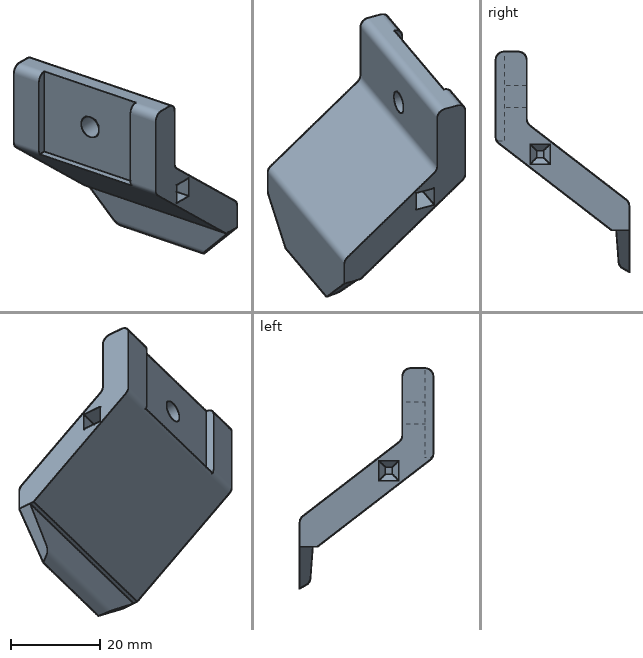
import cadquery as cq
import math

width = 40.0
depth = 30.0
height = 49.4

plate_thickness = 7.0
slope_angle = 37.6
front_bend_z = 29.4
back_bend_z = 33.4
slab_bottom_z = 9.4
round_radius = 2.0

lip_root_thickness = 3.0
lip_tip_thickness = 2.4
lip_corner_z = 1.4
lip_tip_width = 21.35

recess_width = 25.8
recess_depth = 2.0
hole_diameter = 5.0

socket_mouth = 4.5
socket_floor = 1.55
socket_wall_depth = 10.0
socket_y = 10.0
socket_z = 26.4

slope = math.tan(math.radians(slope_angle))
rear_corner_z = back_bend_z - (depth - plate_thickness) * slope
slab_bottom_y = (front_bend_z - slab_bottom_z) / slope


def side_extrusion(points):
    """Extrude a (Y, Z) outline across the full width."""
    return cq.Workplane("YZ").polyline(points).close().extrude(width / 2, both=True)


def round_edges(body, corners):
    """Round the full-width edges that pass through the given (Y, Z) corners."""
    reach = 0.005
    for y, z in corners:
        edge = cq.selectors.BoxSelector(
            (-width, y - reach, z - reach), (width, y + reach, z + reach)
        )
        body = body.edges(edge).fillet(round_radius)
    return body


def make_plate():
    """Upright plate bent backward into a sloping slab with a flat underside."""
    top_front = (0, height)
    top_back = (plate_thickness, height)
    back_bend = (plate_thickness, back_bend_z)
    rear_corner = (depth, rear_corner_z)
    front_bend = (0, front_bend_z)
    plate = side_extrusion([
        top_front,
        top_back,
        back_bend,
        rear_corner,
        (depth, slab_bottom_z),
        (slab_bottom_y, slab_bottom_z),
        front_bend,
    ])
    return round_edges(plate, [top_front, top_back, back_bend, rear_corner, front_bend])


def make_lip():
    """Hanging lip with a slightly tapered front, a slanted tip and sides drawn in toward the tip."""
    tip_corner = (depth - lip_tip_thickness, lip_corner_z)
    lip = side_extrusion([
        (depth, 0),
        (depth, slab_bottom_z),
        (depth - lip_root_thickness, slab_bottom_z),
        tip_corner,
    ])
    lip = round_edges(lip, [tip_corner])
    trapezoid = (
        cq.Workplane("XZ")
        .polyline([
            (-width / 2, slab_bottom_z),
            (width / 2, slab_bottom_z),
            (lip_tip_width / 2, 0),
            (-lip_tip_width / 2, 0),
        ])
        .close()
        .extrude(-depth)
    )
    return lip.intersect(trapezoid)


def make_recess():
    """Shallow recess in the front face, open at the top and ending at the front bend."""
    return cq.Workplane("XY").workplane(offset=front_bend_z).rect(
        recess_width, 2 * recess_depth
    ).extrude(height - front_bend_z)


def make_hole():
    """Hole through the upright, centred in the height of the recess."""
    hole_z = (front_bend_z + height) / 2
    return (
        cq.Workplane("XZ")
        .center(0, hole_z)
        .circle(hole_diameter / 2)
        .extrude(-plate_thickness)
    )


def make_socket():
    """Square socket in the -X side, tapering at 45 degrees to a small flat floor."""
    taper_depth = (socket_mouth - socket_floor) / 2
    walls = (
        cq.Workplane("YZ", origin=(-width / 2, socket_y, socket_z))
        .rect(socket_mouth, socket_mouth)
        .extrude(socket_wall_depth)
    )
    taper = (
        cq.Workplane("YZ", origin=(-width / 2 + socket_wall_depth, socket_y, socket_z))
        .rect(socket_mouth, socket_mouth)
        .workplane(offset=taper_depth)
        .rect(socket_floor, socket_floor)
        .loft(ruled=True)
    )
    return walls.union(taper)


socket = make_socket()
result = (
    make_plate()
    .union(make_lip())
    .cut(make_recess())
    .cut(make_hole())
    .cut(socket)
    .cut(socket.mirror("YZ"))
)